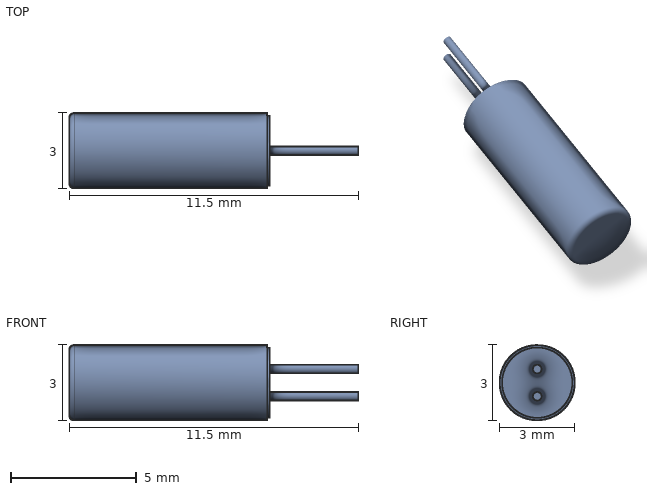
import cadquery as cq

total_length = 11.5
body_length = 7.98

can_diameter = 3.0
can_end_radius = 0.2

plug_diameter = 2.8
plug_height = 0.1

lead_diameter = 0.35
lead_pitch = 1.08

can_length = body_length - plug_height
lead_length = total_length - body_length


def make_can():
    """Cylindrical can with a rounded closed end at X = 0."""
    can = cq.Workplane("YZ").circle(can_diameter / 2).extrude(can_length)
    return can.faces("<X").edges().fillet(can_end_radius)


def make_plug():
    """Shallow disc on the open end of the can."""
    return cq.Workplane("YZ", origin=(can_length, 0, 0)).circle(plug_diameter / 2).extrude(plug_height)


def make_leads():
    """Two round leads, one above the other, on the plug face."""
    lead_centres = [(0, -lead_pitch / 2), (0, lead_pitch / 2)]
    plug_face = cq.Workplane("YZ", origin=(body_length, 0, 0))
    return plug_face.pushPoints(lead_centres).circle(lead_diameter / 2).extrude(lead_length)


result = make_can().union(make_plug()).union(make_leads())